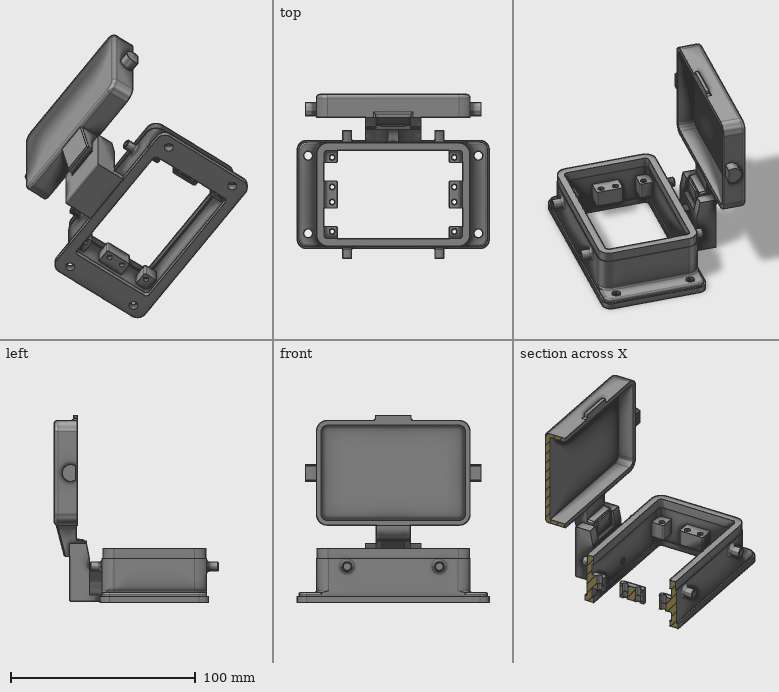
import cadquery as cq
import math


PLATE_LENGTH = 104.0
PLATE_WIDTH = 58.7
PLATE_HEIGHT = 3.3
PLATE_CORNER_RADIUS = 5.1
STEP_INSET = 1.0
STEP_TOP = 5.5
STEP_EDGE_RADIUS = 1.0
MOUNT_SPACING_X = 92.1
MOUNT_SPACING_Y = 42.0
MOUNT_DIAMETER = 4.7

HOUSING_LENGTH = 83.2
HOUSING_WIDTH = PLATE_WIDTH - 2 * STEP_INSET
HOUSING_TOP = 29.3
HOUSING_CORNER_RADIUS = 6.5
RIM_BOTTOM = 23.9
RIM_INSET_X = 0.2
RIM_INSET_Y = 0.4
RIM_LENGTH = HOUSING_LENGTH - 2 * RIM_INSET_X
RIM_WIDTH = HOUSING_WIDTH - 2 * RIM_INSET_Y
RIM_CORNER_RADIUS = 6.0
FOOT_FILLET = 0.9

OPENING_LENGTH = 75.0
OPENING_WIDTH = 47.8
OPENING_CORNER_RADIUS = 2.1
CAVITY_RELIEF = 0.9
CAVITY_CORNER_RADIUS = 3.1

LUG_TOP = 17.8
LUG_HEIGHT = 8.9
LUG_DEPTH = 7.3
LUG_EDGE_RADIUS = 1.0
MIDDLE_LUG_WIDTH = 14.9
CORNER_LUG_WIDTH = 6.7
LUG_HOLE_X = 33.1
MIDDLE_LUG_HOLE_Y = 4.1
CORNER_LUG_HOLE_Y = 20.1
LUG_HOLE_DIAMETER = 2.6
LUG_HOLE_MOUTH_DIAMETER = 3.1
LUG_HOLE_MOUTH_DEPTH = 5.2

PIN_X = 25.0
PIN_Z = 19.5
PIN_RADIUS = 2.5
PIN_TIP_Y = 34.7
PIN_TIP_CHAMFER = 0.4
PIN_ROOT_FILLET = 1.6
PIN_EMBED = 1.0

BRACKET_WIDTH = 30.2
BRACKET_BOTTOM = 0.6
BRACKET_TOP = 32.0
BRACKET_FRONT_Y = 35.0
BRACKET_BACK_Y = 45.9
BRACKET_FOOT_TOP = 4.2
BRACKET_TOP_FRONT_Y = 36.7
BRACKET_SLOPE_BOTTOM = 23.5
BRACKET_EDGE_RADIUS = 0.7
FORK_GAP = 18.5
FORK_FLOOR_FRONT_Z = BRACKET_SLOPE_BOTTOM
FORK_FLOOR_BACK_Z = 22.0
WEB_HALF_WIDTH = 2.9
WEB_FLARE_RADIUS = 7.6
RIVET_Z = 8.7
RIVET_DIAMETER = 4.2
RIVET_RECESS = 0.5

LID_LENGTH = 83.2
LID_FRONT_Y = 41.7
LID_BACK_Y = 54.3
LID_BOTTOM = 41.8
LID_TOP = 98.6
LID_CORNER_RADIUS = 6.0
LID_BACK_FILLET = 2.1
LID_WALL = 2.6
LID_CAVITY_DEPTH = 9.4
LID_CAVITY_CORNER_RADIUS = LID_CORNER_RADIUS - LID_WALL
TAB_TOP = 101.3
TAB_WIDTH = 19.3
TAB_THICKNESS = 2.0
TAB_CORNER_RADIUS = 0.4
TAB_ROOT_CHAMFER = 0.9
TRUNNION_SPAN = 95.1
TRUNNION_Y = 45.2
TRUNNION_Z = 70.1
TRUNNION_RADIUS = 4.6
TRUNNION_FLAT_Y = 42.5

ARM_FRONT_Y = 42.1
ARM_TOP = 43.2
ARM_TOP_BACK_Y = 53.5
ARM_BOTTOM = 24.9
ARM_BOTTOM_BACK_Y = 48.7
ARM_CHAMFER = 0.7
TONGUE_ROOT_Z = 34.4
TONGUE_CREST_Y = 38.3
TONGUE_CREST_Z = 33.9
TONGUE_TIP_Y = 37.8
TONGUE_TIP_Z = 33.4
TONGUE_CHAMFER = 0.8
PANEL_TOP_Y = 36.7
PANEL_BOTTOM_Y = 37.9
PANEL_WIDTH = 12.2
PANEL_RELIEF_BOTTOM = 28.1


def rounded_block(length, width, radius, bottom, top):
    """Upright block centred on the Z axis with rounded vertical edges."""
    block = cq.Workplane("XY").workplane(offset=bottom).rect(length, width).extrude(top - bottom)
    return block.edges("|Z").fillet(radius)


def side_profile(points, width):
    """Closed (Y, Z) outline extruded symmetrically about X = 0."""
    return cq.Workplane("YZ").polyline(points).close().extrude(width / 2, both=True)


def both_ends(shape):
    """Shape together with its mirror image in X."""
    return shape.union(shape.mirror("YZ"))


def make_base():
    step_length = PLATE_LENGTH - 2 * STEP_INSET
    step_radius = PLATE_CORNER_RADIUS - STEP_INSET
    plate = rounded_block(PLATE_LENGTH, PLATE_WIDTH, PLATE_CORNER_RADIUS, 0, PLATE_HEIGHT)
    step = rounded_block(step_length, HOUSING_WIDTH, step_radius, 0, STEP_TOP)
    step = step.faces(">Z").edges().fillet(STEP_EDGE_RADIUS)
    mount_holes = (
        cq.Workplane("XY")
        .rect(MOUNT_SPACING_X, MOUNT_SPACING_Y, forConstruction=True)
        .vertices()
        .circle(MOUNT_DIAMETER / 2)
        .extrude(STEP_TOP)
    )
    return plate.union(step).cut(mount_holes)


def make_housing():
    walls = rounded_block(HOUSING_LENGTH, HOUSING_WIDTH, HOUSING_CORNER_RADIUS, 0, RIM_BOTTOM)
    rim = rounded_block(RIM_LENGTH, RIM_WIDTH, RIM_CORNER_RADIUS, RIM_BOTTOM, HOUSING_TOP)

    slab = cq.Workplane("XY").box(PLATE_LENGTH, PLATE_LENGTH, STEP_TOP, centered=(True, True, False))
    foot_edges = cq.selectors.BoxSelector(
        (-HOUSING_LENGTH, -HOUSING_WIDTH, STEP_TOP - FOOT_FILLET / 2),
        (HOUSING_LENGTH, HOUSING_WIDTH, STEP_TOP + FOOT_FILLET / 2),
    )
    outer_edges = cq.selectors.StringSyntaxSelector("<X or >X or <Y or >Y")
    flared = slab.union(walls).edges(foot_edges - outer_edges).fillet(FOOT_FILLET)
    foot_envelope = cq.Workplane("XY", origin=(0, 0, PLATE_HEIGHT)).rect(
        HOUSING_LENGTH + 2 * FOOT_FILLET, HOUSING_WIDTH
    ).extrude(RIM_BOTTOM - PLATE_HEIGHT)
    foot_outline = rounded_block(
        HOUSING_LENGTH + 2 * FOOT_FILLET,
        HOUSING_WIDTH + 2 * FOOT_FILLET,
        HOUSING_CORNER_RADIUS + FOOT_FILLET,
        PLATE_HEIGHT,
        RIM_BOTTOM,
    )
    foot = flared.intersect(foot_envelope).intersect(foot_outline)
    return walls.union(rim).union(foot)


def make_opening():
    straight = rounded_block(OPENING_LENGTH, OPENING_WIDTH, OPENING_CORNER_RADIUS, 0, HOUSING_TOP)
    cavity = rounded_block(
        OPENING_LENGTH + 2 * CAVITY_RELIEF,
        OPENING_WIDTH + 2 * CAVITY_RELIEF,
        CAVITY_CORNER_RADIUS,
        PLATE_HEIGHT,
        RIM_BOTTOM,
    )
    return straight.union(cavity)


def make_lug(y_low, y_high, inner_edges, hole_ys):
    """Lug on the +X inner wall, with its outer face on the cavity wall."""
    inner_x = OPENING_LENGTH / 2 - LUG_DEPTH
    outer_x = OPENING_LENGTH / 2 + CAVITY_RELIEF
    lug = cq.Workplane("XY").box(outer_x - inner_x, y_high - y_low, LUG_HEIGHT, centered=False)
    lug = lug.translate((inner_x, y_low, LUG_TOP - LUG_HEIGHT))
    lug = lug.edges(inner_edges).fillet(LUG_EDGE_RADIUS)
    return (
        lug.faces(">Z")
        .workplane(origin=(0, 0, LUG_TOP))
        .pushPoints([(LUG_HOLE_X, y) for y in hole_ys])
        .cboreHole(LUG_HOLE_DIAMETER, LUG_HOLE_MOUTH_DIAMETER, LUG_HOLE_MOUTH_DEPTH)
    )


def make_lugs():
    wall_y = OPENING_WIDTH / 2
    half_middle = MIDDLE_LUG_WIDTH / 2
    middle = make_lug(-half_middle, half_middle, "|Z and <X", [-MIDDLE_LUG_HOLE_Y, MIDDLE_LUG_HOLE_Y])
    corner = make_lug(
        wall_y - CORNER_LUG_WIDTH,
        wall_y + CAVITY_RELIEF,
        "|Z and <X and <Y",
        [CORNER_LUG_HOLE_Y],
    )
    return both_ends(middle.union(corner).union(corner.mirror("XZ")))


def make_pin():
    """Pin on the +Y wall, turned about its own axis, with a flared root."""
    wall_y = HOUSING_WIDTH / 2
    root_y = wall_y - PIN_EMBED
    flare_radius = PIN_RADIUS + PIN_ROOT_FILLET
    bulge = PIN_ROOT_FILLET * (1 - math.sqrt(0.5))
    pin = (
        cq.Workplane("XY")
        .moveTo(0, root_y)
        .lineTo(flare_radius, root_y)
        .lineTo(flare_radius, wall_y)
        .threePointArc((PIN_RADIUS + bulge, wall_y + bulge), (PIN_RADIUS, wall_y + PIN_ROOT_FILLET))
        .lineTo(PIN_RADIUS, PIN_TIP_Y - PIN_TIP_CHAMFER)
        .lineTo(PIN_RADIUS - PIN_TIP_CHAMFER, PIN_TIP_Y)
        .lineTo(0, PIN_TIP_Y)
        .close()
        .revolve(360, (0, 0, 0), (0, 1, 0))
    )
    return pin.translate((PIN_X, 0, PIN_Z))


def make_pins():
    pair = both_ends(make_pin())
    return pair.union(pair.mirror("XZ"))


def make_bracket():
    wall_y = HOUSING_WIDTH / 2
    upright = side_profile(
        [
            (wall_y, BRACKET_BOTTOM),
            (BRACKET_BACK_Y, BRACKET_BOTTOM),
            (BRACKET_BACK_Y, BRACKET_TOP),
            (BRACKET_TOP_FRONT_Y, BRACKET_TOP),
            (BRACKET_FRONT_Y, BRACKET_SLOPE_BOTTOM),
            (BRACKET_FRONT_Y, BRACKET_FOOT_TOP),
            (wall_y, BRACKET_FOOT_TOP),
        ],
        BRACKET_WIDTH,
    )
    upright = upright.faces(">Y").edges("|X").fillet(BRACKET_EDGE_RADIUS)
    gap = side_profile(
        [
            (BRACKET_FRONT_Y, FORK_FLOOR_FRONT_Z),
            (BRACKET_BACK_Y, FORK_FLOOR_BACK_Z),
            (BRACKET_BACK_Y, BRACKET_TOP),
            (BRACKET_FRONT_Y, BRACKET_TOP),
        ],
        FORK_GAP,
    )
    return upright.cut(gap).union(make_web())


def make_web():
    """Upright web joining the bracket to the housing, flaring into the bracket foot."""
    flare_x = WEB_HALF_WIDTH + WEB_FLARE_RADIUS
    flare_top = BRACKET_FOOT_TOP + WEB_FLARE_RADIUS
    bulge = WEB_FLARE_RADIUS * (1 - math.sqrt(0.5))
    middle_x = WEB_HALF_WIDTH + bulge
    middle_z = BRACKET_FOOT_TOP + bulge
    wall_y = HOUSING_WIDTH / 2
    return (
        cq.Workplane("XZ", origin=(0, BRACKET_FRONT_Y, 0))
        .moveTo(-flare_x, BRACKET_FOOT_TOP)
        .threePointArc((-middle_x, middle_z), (-WEB_HALF_WIDTH, flare_top))
        .lineTo(-WEB_HALF_WIDTH, PIN_Z)
        .lineTo(WEB_HALF_WIDTH, PIN_Z)
        .lineTo(WEB_HALF_WIDTH, flare_top)
        .threePointArc((middle_x, middle_z), (flare_x, BRACKET_FOOT_TOP))
        .close()
        .extrude(BRACKET_FRONT_Y - wall_y)
    )


def make_rivet_recess():
    wall_y = OPENING_WIDTH / 2 + CAVITY_RELIEF
    recess = cq.Workplane("XZ", origin=(0, wall_y + RIVET_RECESS, RIVET_Z))
    return recess.circle(RIVET_DIAMETER / 2).extrude(2 * RIVET_RECESS)


def make_lid():
    height = LID_TOP - LID_BOTTOM
    middle_z = (LID_TOP + LID_BOTTOM) / 2
    front = cq.Workplane("XZ", origin=(0, LID_FRONT_Y, middle_z))
    shell = front.rect(LID_LENGTH, height).extrude(LID_FRONT_Y - LID_BACK_Y)
    shell = shell.edges("|Y").fillet(LID_CORNER_RADIUS).faces(">Y").edges().fillet(LID_BACK_FILLET)
    cavity = front.rect(LID_LENGTH - 2 * LID_WALL, height - 2 * LID_WALL).extrude(-LID_CAVITY_DEPTH)
    cavity = cavity.edges("|Y").fillet(LID_CAVITY_CORNER_RADIUS)
    return shell.union(make_trunnions()).union(make_arm()).cut(cavity).union(make_tab())


def make_tab():
    """Finger tab on the top edge of the lid with a chamfered root."""
    root_z = LID_TOP - LID_WALL / 2
    tab = cq.Workplane("XY").box(TAB_WIDTH, TAB_THICKNESS, TAB_TOP - root_z, centered=(True, False, False))
    tab = tab.translate((0, LID_FRONT_Y, root_z)).edges("|Y and >Z").fillet(TAB_CORNER_RADIUS)
    root_width = TAB_WIDTH + 2 * TAB_ROOT_CHAMFER
    root_depth = TAB_THICKNESS + TAB_ROOT_CHAMFER
    root = (
        cq.Workplane("XY", origin=(0, LID_FRONT_Y + root_depth / 2, LID_TOP))
        .rect(root_width, root_depth)
        .workplane(offset=TAB_ROOT_CHAMFER)
        .center(0, -TAB_ROOT_CHAMFER / 2)
        .rect(TAB_WIDTH, TAB_THICKNESS)
        .loft()
    )
    return tab.union(root)


def make_trunnions():
    rod = cq.Workplane("YZ").center(TRUNNION_Y, TRUNNION_Z).circle(TRUNNION_RADIUS)
    rod = rod.extrude(TRUNNION_SPAN / 2, both=True)
    flat = cq.Workplane("XY").box(TRUNNION_SPAN, TRUNNION_RADIUS, 2 * TRUNNION_RADIUS)
    flat = flat.translate((0, TRUNNION_FLAT_Y - TRUNNION_RADIUS / 2, TRUNNION_Z))
    return rod.cut(flat)


def make_arm():
    """Hinge arm hanging from the lid, with a tongue and knuckle between the fork arms."""
    arm = side_profile(
        [
            (ARM_FRONT_Y, ARM_TOP),
            (ARM_TOP_BACK_Y, ARM_TOP),
            (ARM_BOTTOM_BACK_Y, ARM_BOTTOM),
            (ARM_FRONT_Y, ARM_BOTTOM),
        ],
        FORK_GAP,
    )
    arm = arm.faces(">Y").edges().chamfer(ARM_CHAMFER)
    knuckle = side_profile(
        [
            (ARM_FRONT_Y, FORK_FLOOR_BACK_Z),
            (ARM_FRONT_Y, TONGUE_ROOT_Z),
            (TONGUE_CREST_Y, TONGUE_CREST_Z),
            (TONGUE_TIP_Y, TONGUE_TIP_Z),
            (PANEL_TOP_Y, TONGUE_TIP_Z),
            (PANEL_BOTTOM_Y, FORK_FLOOR_BACK_Z),
        ],
        FORK_GAP,
    )
    relief_depth = TONGUE_TIP_Y - PANEL_TOP_Y
    relief_width = (FORK_GAP - PANEL_WIDTH) / 2
    relief = cq.Workplane("XY").box(
        relief_width, relief_depth, TONGUE_TIP_Z - PANEL_RELIEF_BOTTOM, centered=False
    )
    relief = relief.translate((PANEL_WIDTH / 2, PANEL_TOP_Y, PANEL_RELIEF_BOTTOM))
    knuckle = knuckle.cut(both_ends(relief))
    sloped_sides = cq.selectors.BoxSelector(
        (-FORK_GAP, TONGUE_TIP_Y, TONGUE_TIP_Z), (FORK_GAP, ARM_FRONT_Y, TONGUE_ROOT_Z)
    )
    knuckle = knuckle.edges(sloped_sides).edges("<X or >X").chamfer(TONGUE_CHAMFER)
    return arm.union(knuckle)


body = make_base().union(make_housing()).cut(make_opening())
body = body.union(make_lugs()).union(make_pins()).union(make_bracket())
body = body.cut(make_rivet_recess())
result = body.union(make_lid())